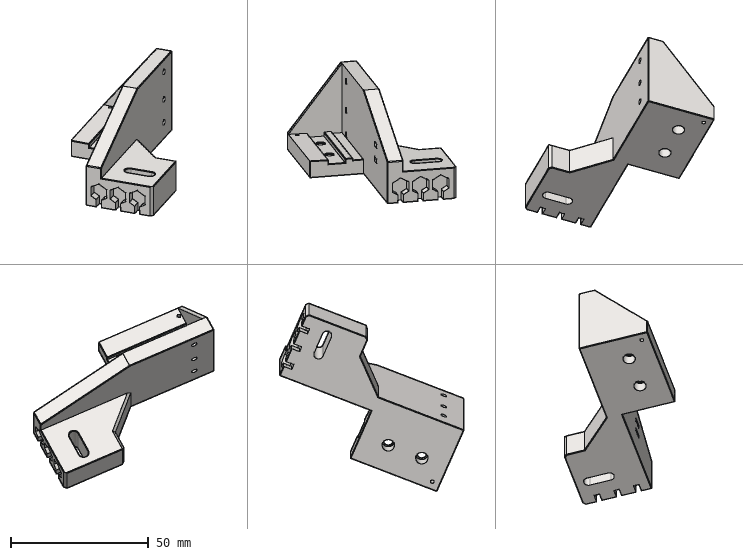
import cadquery as cq
import math

length = 70.0
height = 32.0
tray_width = 20.0
plate_thickness = 5.95
foot_width = 20.0
edge_break = 0.265

plate_left = tray_width
plate_middle = plate_left + plate_thickness / 2
plate_right = plate_left + plate_thickness
width = plate_right + foot_width

plate_nose_height = 16.0
tray_front = 36.0
plate_hole_diameter = 2.0
plate_hole_y = 62.0
plate_hole_heights = (6.7, 15.95, 27.0)

tray_edge_height = 6.5
rail_height = 6.4
groove_floor = 4.8
groove_left = 7.1
groove_right = 13.2
rail_right = 16.2
rail_low_height = 5.6
gusset_thickness = 1.95
tray_hole_diameter = 3.4
tray_bore_diameter = 4.4
tray_hole_lip = 0.55
tray_hole_x = 10.0
tray_hole_ys = (46.8, 60.0)
corner_hole_diameter = 1.25
corner_hole_inset = 3.0

foot_height = 12.0
foot_depth = 24.3
foot_bevel = 1.0
foot_diagonal_end = 38.1
slot_x = 37.0
slot_y = 10.0
slot_width = 3.4
slot_length = 11.4

pocket_middle_x = 32.5
pocket_spacing = 7.5
pocket_height = 6.0
pocket_flats = 6.1
pocket_depth = 3.2
pocket_slit = 2.0

tie_height = 14.0
tie_start = 16.0
tie_width = 3.5
tie_outer_diameter = 8.1
tie_inner_diameter = 5.45
tie_centre_offset = 1.75


def prism_along_y(outline, start, end):
    """Extrude an (x, z) outline from y = start to y = end."""
    return cq.Workplane("XZ", origin=(0, start, 0)).polyline(outline).close().extrude(start - end)


def make_plate():
    outline = [(0, 0), (length, 0), (length, height), (tray_front, height), (0, plate_nose_height)]
    plate = (
        cq.Workplane("YZ", origin=(plate_left, 0, 0))
        .polyline(outline)
        .close()
        .extrude(plate_thickness)
    )
    slope_middle = (plate_middle, tray_front / 2, (plate_nose_height + height) / 2)
    front_edges = plate.faces("<Y").edges("not <Z")
    slope_edges = plate.faces(cq.NearestToPointSelector(slope_middle)).edges("not |X")
    top_edge = plate.faces(">Z").edges(">X")
    return front_edges.add(slope_edges).add(top_edge).chamfer(edge_break)


def make_tray():
    """Tray with the rail profile; it runs into the plate so that the two join."""
    outline = [
        (0, 0),
        (plate_middle, 0),
        (plate_middle, rail_low_height),
        (rail_right, rail_low_height),
        (rail_right, rail_height - edge_break),
        (rail_right - edge_break, rail_height),
        (groove_right + edge_break, rail_height),
        (groove_right, rail_height - edge_break),
        (groove_right, groove_floor),
        (groove_left, groove_floor),
        (groove_left, rail_height - edge_break),
        (groove_left - edge_break, rail_height),
        (0, tray_edge_height),
    ]
    tray = prism_along_y(outline, tray_front, length)
    return tray.faces("<Y").edges("not <Z").chamfer(edge_break)


def make_gusset():
    outline = [
        (0, 0),
        (plate_middle, 0),
        (plate_middle, height),
        (plate_left, height),
        (0, tray_edge_height),
    ]
    return prism_along_y(outline, length - gusset_thickness, length)


def make_foot():
    """Foot with a 45 degree back edge; it starts inside the plate so that the two join."""
    diagonal_start_y = foot_depth + foot_diagonal_end - plate_middle
    outline = [
        (plate_middle, 0),
        (width, 0),
        (width, foot_depth),
        (foot_diagonal_end, foot_depth),
        (plate_middle, diagonal_start_y),
    ]
    foot = cq.Workplane("XY").polyline(outline).close().extrude(foot_height)
    foot = foot.edges("|Z and >X").chamfer(foot_bevel)

    back_middle = ((foot_diagonal_end + width) / 2, foot_depth, foot_height)
    diagonal_middle = (
        (plate_middle + foot_diagonal_end) / 2,
        (diagonal_start_y + foot_depth) / 2,
        foot_height,
    )
    top = foot.faces(">Z")
    back_edge = top.edges(cq.NearestToPointSelector(back_middle))
    diagonal_edge = top.edges(cq.NearestToPointSelector(diagonal_middle))
    foot = back_edge.add(diagonal_edge).chamfer(foot_bevel)

    top = foot.faces(">Z")
    return top.edges(">X").add(top.edges("<Y")).chamfer(edge_break)


def make_pocket(x):
    """Hexagon standing on a corner, with a slit from its centre down through the base."""
    radius = pocket_flats / math.sqrt(3)
    corner_angles = [math.radians(60 * i) for i in range(6)]
    corners = [(x + radius * math.sin(a), pocket_height + radius * math.cos(a)) for a in corner_angles]
    slit_left = x - pocket_slit / 2
    slit_right = x + pocket_slit / 2
    slit = [(slit_left, 0), (slit_right, 0), (slit_right, pocket_height), (slit_left, pocket_height)]
    return prism_along_y(corners, 0, pocket_depth).union(prism_along_y(slit, 0, pocket_depth))


def make_slot():
    """Through slot with a chamfered upper rim."""
    slot = (
        cq.Workplane("XY", origin=(slot_x, slot_y, 0))
        .slot2D(slot_length, slot_width)
        .extrude(foot_height)
    )
    rim = (
        cq.Workplane("XY", origin=(slot_x, slot_y, foot_height))
        .slot2D(slot_length + 2 * edge_break, slot_width + 2 * edge_break)
        .extrude(-edge_break, taper=45)
    )
    return slot.union(rim)


def make_tray_holes():
    centres = [(tray_hole_x, y) for y in tray_hole_ys]
    holes = cq.Workplane("XY").pushPoints(centres).circle(tray_hole_diameter / 2).extrude(rail_height)
    bore_depth = groove_floor - tray_hole_lip
    bores = cq.Workplane("XY").pushPoints(centres).circle(tray_bore_diameter / 2).extrude(bore_depth)
    return holes.union(bores)


def make_corner_hole():
    return (
        cq.Workplane("XY")
        .center(corner_hole_inset, length - corner_hole_inset)
        .circle(corner_hole_diameter / 2)
        .extrude(height)
    )


def make_plate_holes():
    return (
        cq.Workplane("YZ", origin=(plate_left, 0, 0))
        .pushPoints([(plate_hole_y, z) for z in plate_hole_heights])
        .circle(plate_hole_diameter / 2)
        .extrude(plate_thickness)
    )


def make_tie_channel():
    return (
        cq.Workplane("XZ", origin=(plate_left - tie_centre_offset, tie_start, tie_height))
        .circle(tie_outer_diameter / 2)
        .circle(tie_inner_diameter / 2)
        .extrude(-tie_width)
    )


body = make_plate().union(make_tray()).union(make_gusset()).union(make_foot())
body = body.faces("<Z or >Y").edges().chamfer(edge_break)

for step in (-1, 0, 1):
    body = body.cut(make_pocket(pocket_middle_x + step * pocket_spacing))

for cutter in (make_slot(), make_tray_holes(), make_corner_hole(), make_plate_holes(), make_tie_channel()):
    body = body.cut(cutter)

result = body